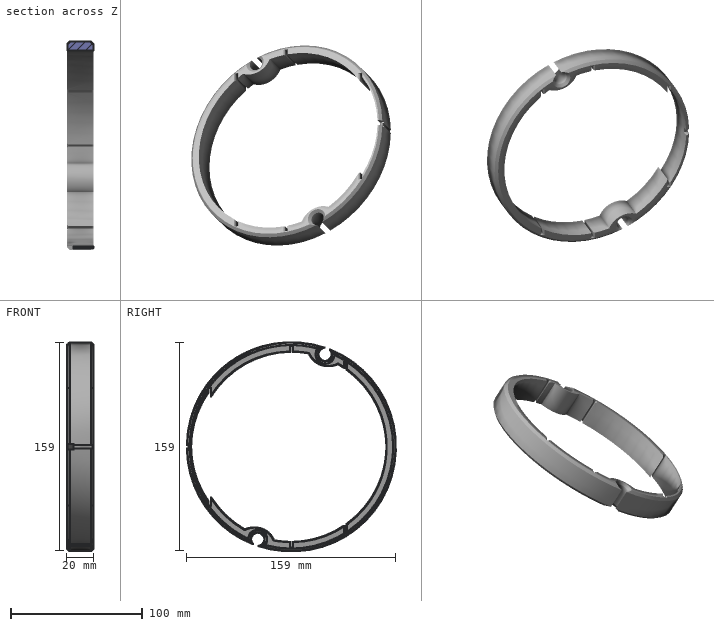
import cadquery as cq
import math

width = 20.0
outer_radius = 79.5
bore_radius = 72.3
edge_chamfer = 2.0

relief_offset = 4.0

boss_angles = (70.0, 250.0)
boss_tip_radius = 66.3
boss_arc_radius = 16.2
hole_centre_radius = 74.9
hole_radius = 5.1

slot_width = 1.7
slot_flare = 1.0
slot_mouth = slot_width + 2 * slot_flare
slot_floor_radius = 76.6
slot_positions = (41.2, 0.0, -62.2)

notch_width = 4.3
notch_depth = 4.8
groove_width = 2.5
groove_depth = 1.1


def cylinder(radius, y=0.0, z=0.0):
    return cq.Workplane("YZ").center(y, z).circle(radius).extrude(width)


def block(x_range, y_range, z_range):
    """Box spanning the given ranges along X, Y and Z."""
    ranges = (x_range, y_range, z_range)
    sizes = [high - low for low, high in ranges]
    middle = tuple((low + high) / 2 for low, high in ranges)
    return cq.Workplane("XY").box(*sizes).translate(middle)


def polar(radius, angle):
    return (radius * math.cos(math.radians(angle)), radius * math.sin(math.radians(angle)))


def floor_height(y):
    return math.sqrt(slot_floor_radius**2 - y**2)


def make_ring():
    """Chamfered ring with bosses bulging into the bore and a thin -Y wall."""
    disc = cylinder(outer_radius).faces("<X or >X").edges().chamfer(edge_chamfer)
    opening = cylinder(bore_radius)
    relief_y = slot_positions[-1]
    relief_height = floor_height(relief_y)
    relief_zone = block((0, width), (-outer_radius, relief_y), (-relief_height, relief_height))
    opening = opening.union(cylinder(bore_radius, -relief_offset).intersect(relief_zone))
    for angle in boss_angles:
        opening = opening.cut(cylinder(boss_arc_radius, *polar(boss_tip_radius + boss_arc_radius, angle)))
    return disc.cut(opening)


def make_screw_hole(angle):
    """Through hole, countersunk at both ends, that breaks out of the rim."""
    countersink_radius = hole_radius + edge_chamfer
    profile = [
        (0, 0),
        (0, countersink_radius),
        (edge_chamfer, hole_radius),
        (width - edge_chamfer, hole_radius),
        (width, countersink_radius),
        (width, 0),
    ]
    hole = cq.Workplane("XY").polyline(profile).close().revolve(360, (0, 0), (1, 0))
    return hole.translate((0, *polar(hole_centre_radius, angle)))


def make_clip_slot(y, side):
    """Slot from the bore outward, toward +Z (side 1) or -Z (side -1), flared at the front."""
    outline = [
        (0, y - slot_mouth / 2),
        (slot_flare, y - slot_width / 2),
        (width, y - slot_width / 2),
        (width, y + slot_width / 2),
        (slot_flare, y + slot_width / 2),
        (0, y + slot_mouth / 2),
    ]
    return cq.Workplane("XY").polyline(outline).close().extrude(side * floor_height(y))


def make_split_mark():
    notch = block((0, notch_depth), (-outer_radius, 0), (-notch_width / 2, notch_width / 2))
    groove_y = (-outer_radius, groove_depth - outer_radius)
    groove = block((0, width), groove_y, (-groove_width / 2, groove_width / 2))
    return notch.union(groove)


result = make_ring()
for angle in boss_angles:
    result = result.cut(make_screw_hole(angle))
for y in slot_positions:
    for side in (1, -1):
        result = result.cut(make_clip_slot(y, side))
result = result.cut(make_split_mark())